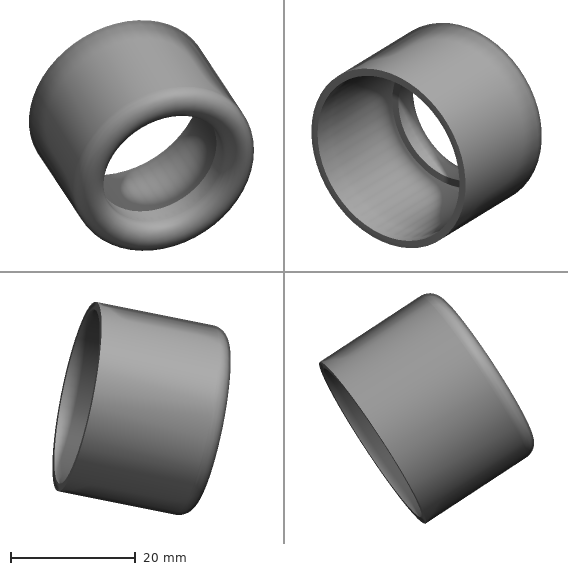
import cadquery as cq

length = 22.0
outer_diameter = 31.0
outer_wall_bore = 28.5
lip_outer_diameter = 23.3
lip_bore = 20.8

outer_radius = outer_diameter / 2
groove_outer_radius = outer_wall_bore / 2
groove_inner_radius = lip_outer_diameter / 2
lip_inner_radius = lip_bore / 2

roll_radius = (outer_radius - lip_inner_radius) / 2
groove_radius = (groove_outer_radius - groove_inner_radius) / 2
roll_center_radius = (outer_radius + lip_inner_radius) / 2
groove_center_radius = (groove_outer_radius + groove_inner_radius) / 2
roll_start = length - roll_radius
groove_end = roll_start + groove_radius

lip_length = 3.0
lip_end = roll_start - lip_length


def rolled_sleeve():
    """Revolve the J-shaped wall section around the X axis."""
    section = (
        cq.Workplane("XY")
        .moveTo(0, groove_outer_radius)
        .lineTo(0, outer_radius)
        .lineTo(roll_start, outer_radius)
        .threePointArc((length, roll_center_radius), (roll_start, lip_inner_radius))
        .lineTo(lip_end, lip_inner_radius)
        .lineTo(lip_end, groove_inner_radius)
        .lineTo(roll_start, groove_inner_radius)
        .threePointArc((groove_end, groove_center_radius), (roll_start, groove_outer_radius))
        .close()
    )
    return section.revolve(360, (0, 0, 0), (1, 0, 0))


result = rolled_sleeve()